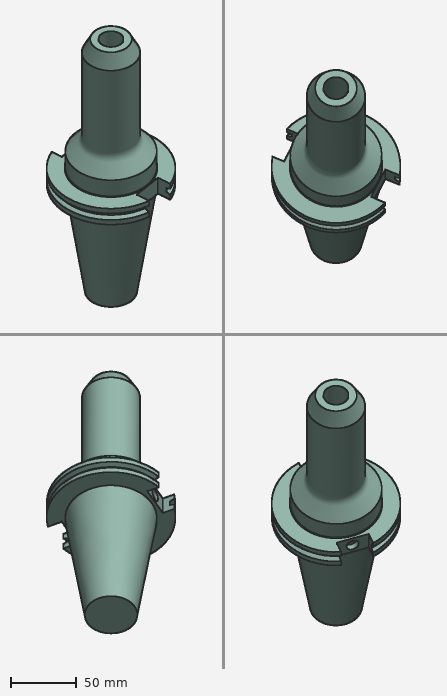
import cadquery as cq
import math

total_height = 247.6

gauge_radius = 35.0
gauge_height = 101.8
taper_ratio = 7 / 24
small_end_radius = gauge_radius - gauge_height * taper_ratio / 2

flange_radius = 49.15
flange_bottom = 105.0
flange_top = 120.9
groove_floor_radius = 45.3
groove_center = 113.0
groove_floor_width = 3.2
groove_mouth_width = 6.5

collar_radius = gauge_radius
lip_radius = 35.5
lip_height = 0.5
collar_top = 137.2

neck_radius = 22.3
blend_radius = 9.2
nose_radius = 15.8
nose_length = 13.0

bore_radius = 9.53
bore_depth = 49.5

slot_width = 26.0
slot_floor_minus_x = 37.6
slot_floor_plus_x = 35.5
dimple_radius = 5.0
dimple_depth = 5.0


def turned_body():
    shoulder_angle = math.radians(45)
    shoulder_radius = neck_radius + blend_radius * (1 - math.cos(shoulder_angle))
    shoulder_top = collar_top + collar_radius - shoulder_radius
    blend_top = shoulder_top + blend_radius * math.sin(shoulder_angle)
    half_angle = shoulder_angle / 2
    blend_middle = (
        neck_radius + blend_radius * (1 - math.cos(half_angle)),
        blend_top - blend_radius * math.sin(half_angle),
    )
    return (
        cq.Workplane("XZ")
        .lineTo(small_end_radius, 0)
        .lineTo(gauge_radius, gauge_height)
        .lineTo(gauge_radius, flange_bottom)
        .lineTo(flange_radius, flange_bottom)
        .lineTo(flange_radius, groove_center - groove_mouth_width / 2)
        .lineTo(groove_floor_radius, groove_center - groove_floor_width / 2)
        .lineTo(groove_floor_radius, groove_center + groove_floor_width / 2)
        .lineTo(flange_radius, groove_center + groove_mouth_width / 2)
        .lineTo(flange_radius, flange_top)
        .lineTo(lip_radius, flange_top)
        .lineTo(lip_radius, flange_top + lip_height)
        .lineTo(collar_radius, flange_top + lip_height)
        .lineTo(collar_radius, collar_top)
        .lineTo(shoulder_radius, shoulder_top)
        .threePointArc(blend_middle, (neck_radius, blend_top))
        .lineTo(neck_radius, total_height - nose_length)
        .lineTo(nose_radius, total_height)
        .lineTo(0, total_height)
        .close()
        .revolve(360, (0, 0, 0), (0, 1, 0))
    )


def tool_bore():
    return (
        cq.Workplane("XY")
        .workplane(offset=total_height - bore_depth)
        .circle(bore_radius)
        .extrude(bore_depth)
    )


def drive_slot(floor, side):
    """Slot across the full flange thickness; side is -1 for -X and +1 for +X."""
    depth = flange_radius - floor
    return (
        cq.Workplane("XY")
        .workplane(offset=flange_bottom)
        .center(side * (floor + depth / 2), 0)
        .rect(depth, slot_width)
        .extrude(flange_top - flange_bottom)
    )


def locating_dimple():
    return (
        cq.Workplane("YZ")
        .workplane(offset=-slot_floor_minus_x)
        .center(0, groove_center)
        .circle(dimple_radius)
        .extrude(dimple_depth)
    )


result = (
    turned_body()
    .cut(tool_bore())
    .cut(drive_slot(slot_floor_minus_x, -1))
    .cut(drive_slot(slot_floor_plus_x, 1))
    .cut(locating_dimple())
)